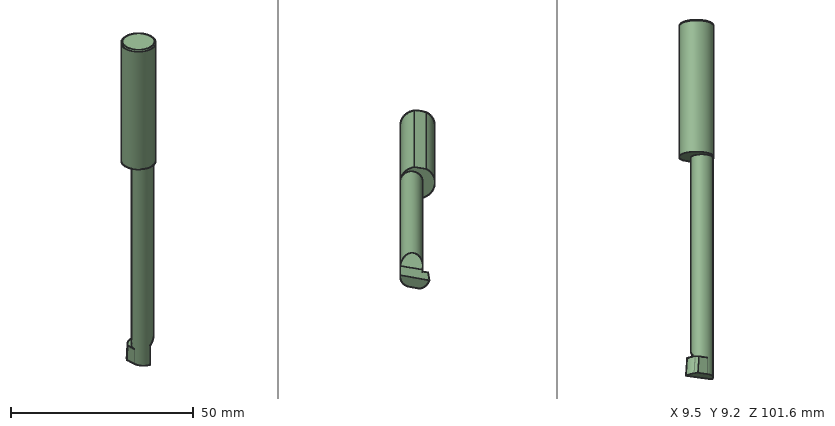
import cadquery as cq
import math

total_length = 101.6
shank_diameter = 9.5
shank_length = 38.1
shank_flat_depth = 0.3
shank_chamfer = 0.4

neck_diameter = 6.2
neck_radius = neck_diameter / 2
neck_x = (shank_diameter - neck_diameter) / 2
shank_bottom = total_length - shank_length

rake_face_top = 6.4
slope_top = rake_face_top + neck_radius

head_height = 5.2
tip_x = -3.4
heel_x, heel_y = -2.2, -2.4
flank_bulge = 0.2
front_corner_x = -1.3
side_clearance_angle = 4.0
end_angle = 2.0
end_clearance_angle = 5.0


def make_shank():
    shank = (
        cq.Workplane("XY", origin=(0, 0, shank_bottom))
        .circle(shank_diameter / 2)
        .extrude(shank_length)
        .faces(">Z")
        .chamfer(shank_chamfer)
    )
    flat_y = shank_diameter / 2 - shank_flat_depth
    flat_cutter = (
        cq.Workplane("XY", origin=(0, flat_y, shank_bottom))
        .rect(shank_diameter, 2 * shank_diameter)
        .extrude(shank_length)
        .translate((0, shank_diameter, 0))
    )
    return shank.cut(flat_cutter)


def make_neck():
    neck = cq.Workplane("XY").center(neck_x, 0).circle(neck_radius).extrude(shank_bottom)
    rake_cutter = (
        cq.Workplane("YZ")
        .polyline([(0, 0), (0, rake_face_top), (neck_radius, slope_top), (neck_radius, 0)])
        .close()
        .extrude(shank_diameter, both=True)
    )
    return neck.cut(rake_cutter)


def make_head():
    """Prism with a curved flank; its -X faces lean inward towards the top."""
    lean = head_height * math.tan(math.radians(side_clearance_angle))

    def outline(z, shift):
        return (
            cq.Workplane("XY", origin=(shift, 0, z))
            .moveTo(tip_x, 0)
            .sagittaArc((heel_x, heel_y), -flank_bulge)
            .lineTo(front_corner_x, -neck_radius)
            .lineTo(neck_x - shift, -neck_radius)
            .lineTo(neck_x - shift, 0)
            .close()
            .wire()
            .val()
        )

    sections = [outline(0, 0), outline(head_height, lean)]
    return cq.Workplane(cq.Solid.makeLoft(sections, True))


def make_end_cutter():
    """Block below the end face, which rises from the tip towards +X and -Y."""
    block_size = 4 * shank_diameter
    return (
        cq.Workplane("XY")
        .box(block_size, block_size, block_size, centered=(True, True, False))
        .translate((0, 0, -block_size))
        .rotate((0, 0, 0), (1, 0, 0), -end_clearance_angle)
        .rotate((0, 0, 0), (0, 1, 0), -end_angle)
        .translate((tip_x, 0, 0))
    )


result = make_shank().union(make_neck()).union(make_head()).cut(make_end_cutter())